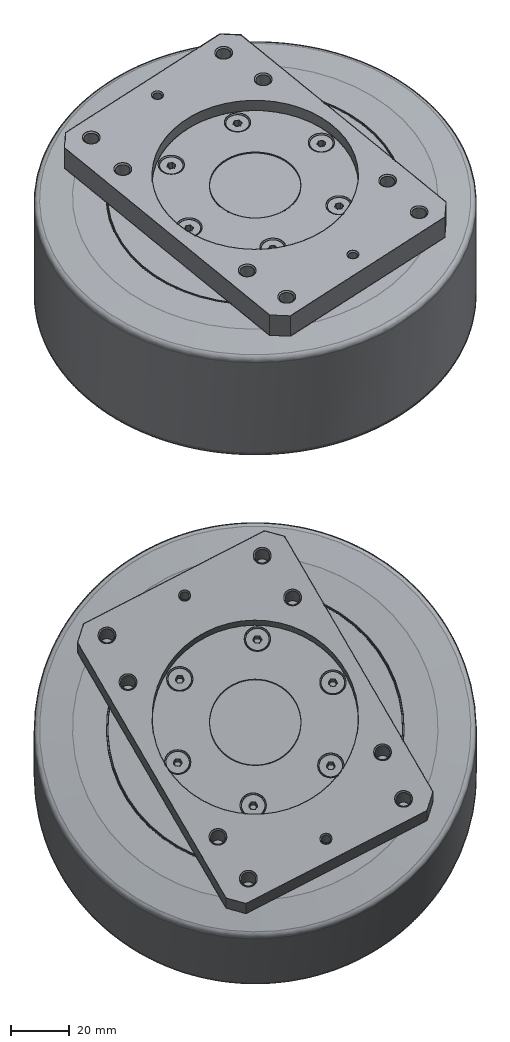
import cadquery as cq
import math

body_diameter = 150.0
body_height = 50.0
land_diameter = 124.0
rim_drop = 1.0
rim_fillet = 2.0

groove_outer_diameter = 101.0
groove_inner_diameter = 100.0
groove_depth = 1.0

plate_length = 115.0
plate_width = 80.0
plate_thickness = 10.0
plate_corner_chamfer = 5.0
boss_diameter = 70.0
plate_gap = 1.0
plate_bottom = body_height + plate_gap
plate_top = plate_bottom + plate_thickness

pocket_diameter = boss_diameter
pocket_depth = 5.0
pocket_floor = plate_top - pocket_depth
recess_diameter = 31.0
recess_depth = 0.5

screw_count = 6
screw_circle_radius = 30.0
head_diameter = 8.0
seat_diameter = 8.9
seat_depth = 0.35
head_top = pocket_floor - seat_depth
socket_sides = 6
socket_diameter = 3.0
socket_depth = 3.0

thread_core_diameter = 4.97
thread_outer_diameter = 6.0
thread_chamfer = (thread_outer_diameter - thread_core_diameter) / 2
corner_hole_x = 50.0
corner_hole_y = 30.0
diagonal_hole_circle_radius = 45.0

blind_hole_x = 50.0
blind_hole_diameter = 3.0
blind_hole_depth = 8.0
blind_hole_chamfer = 0.5
drill_point_angle = 118.0


def drill(x, y, top, diameter, depth, chamfer, point_height=0.0):
    """Revolved cutter: chamfered mouth at height top, optional conical point."""
    radius = diameter / 2
    profile = (
        cq.Workplane("XZ")
        .moveTo(0, top)
        .lineTo(radius + chamfer, top)
        .lineTo(radius, top - chamfer)
        .lineTo(radius, top - depth)
        .lineTo(0, top - depth - point_height)
        .close()
    )
    return profile.revolve(360, (0, 0), (0, 1)).translate((x, y, 0))


def make_body():
    """Cylinder with a sloped, rounded rim at both ends."""
    radius = body_diameter / 2
    land_radius = land_diameter / 2
    profile = (
        cq.Workplane("XZ")
        .lineTo(land_radius, 0)
        .lineTo(radius, rim_drop)
        .lineTo(radius, body_height - rim_drop)
        .lineTo(land_radius, body_height)
        .lineTo(0, body_height)
        .close()
    )
    solid = profile.revolve(360, (0, 0), (0, 1))
    side_edges = cq.selectors.RadiusNthSelector(-1)
    solid = solid.edges(side_edges).fillet(rim_fillet)
    groove = (
        cq.Workplane("XY", origin=(0, 0, body_height - groove_depth))
        .circle(groove_outer_diameter / 2)
        .circle(groove_inner_diameter / 2)
        .extrude(groove_depth)
    )
    return solid.cut(groove)


def make_plate():
    """Rectangular plate with chamfered corners and its boss underneath."""
    plate = (
        cq.Workplane("XY", origin=(0, 0, plate_bottom))
        .rect(plate_length, plate_width)
        .extrude(plate_thickness)
        .edges("|Z")
        .chamfer(plate_corner_chamfer)
    )
    boss = (
        cq.Workplane("XY", origin=(0, 0, body_height))
        .circle(boss_diameter / 2)
        .extrude(plate_gap)
    )
    return plate.union(boss)


def cut_pocket(solid):
    """Round pocket with a shallow central recess."""
    pocket = (
        cq.Workplane("XY", origin=(0, 0, pocket_floor))
        .circle(pocket_diameter / 2)
        .extrude(pocket_depth)
    )
    recess = (
        cq.Workplane("XY", origin=(0, 0, pocket_floor - recess_depth))
        .circle(recess_diameter / 2)
        .extrude(recess_depth)
    )
    return solid.cut(pocket).cut(recess)


def cut_screws(solid):
    """Ring of screws: a shallow conical seat with a hexagonal socket in each."""
    for index in range(screw_count):
        angle = math.radians(90 + index * 360 / screw_count)
        x = screw_circle_radius * math.cos(angle)
        y = screw_circle_radius * math.sin(angle)
        seat = cq.Solid.makeCone(
            head_diameter / 2, seat_diameter / 2, seat_depth, cq.Vector(x, y, head_top)
        )
        socket = (
            cq.Workplane("XY", origin=(x, y, head_top - socket_depth))
            .polygon(socket_sides, socket_diameter)
            .extrude(socket_depth)
        )
        solid = solid.cut(cq.Workplane(seat)).cut(socket)
    return solid


def cut_plate_holes(solid):
    """Threaded through holes and blind holes, mirrored about both axes."""
    diagonal = diagonal_hole_circle_radius * math.sqrt(0.5)
    point_height = blind_hole_diameter / 2 / math.tan(math.radians(drill_point_angle / 2))
    for side_x in (-1, 1):
        for side_y in (-1, 1):
            for x, y in ((corner_hole_x, corner_hole_y), (diagonal, diagonal)):
                hole = drill(
                    side_x * x, side_y * y, plate_top,
                    thread_core_diameter, plate_thickness, thread_chamfer,
                )
                solid = solid.cut(hole)
        blind_hole = drill(
            side_x * blind_hole_x, 0, plate_top,
            blind_hole_diameter, blind_hole_depth, blind_hole_chamfer, point_height,
        )
        solid = solid.cut(blind_hole)
    return solid


result = make_body().union(make_plate())
result = cut_pocket(result)
result = cut_screws(result)
result = cut_plate_holes(result)